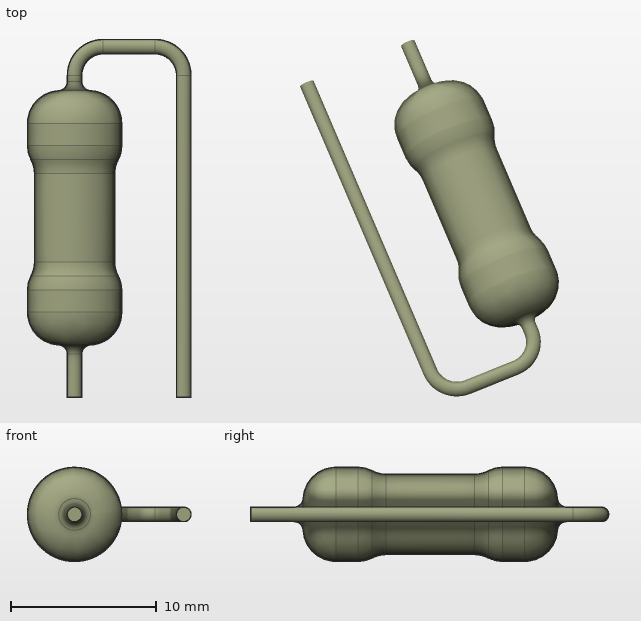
import cadquery as cq
import math


lead_diameter = 1.0
lead_radius = lead_diameter / 2
lead_pitch = 7.5
lead_length_y = 24.6
bend_radius = 1.97
lead_top = lead_length_y - lead_radius
bend_start = lead_top - bend_radius

cap_radius = 6.5 / 2
waist_radius = 5.54 / 2
body_bottom = 3.6
body_length = 17.5
body_middle = body_bottom + body_length / 2
cap_length = 3.8
taper_length = 1.92
collar_round = 0.62
cap_round = 2.26


def make_body_half():
    """Revolve the lower half of the body, from the lead collar to mid-length."""
    mean_radius = (cap_radius + waist_radius) / 2
    round_centre_x = cap_radius - cap_round
    round_top = body_bottom + cap_round
    taper_start = body_bottom + cap_length
    taper_middle = taper_start + taper_length / 2
    taper_end = taper_start + taper_length

    centre_distance = cap_round + collar_round
    offset_x = lead_radius + collar_round - round_centre_x
    offset_y = math.sqrt(centre_distance**2 - offset_x**2)
    collar_bottom = round_top - offset_y
    contact_ratio = cap_round / centre_distance
    contact = (round_centre_x + offset_x * contact_ratio, round_top - offset_y * contact_ratio)

    return (
        cq.Workplane("XY")
        .moveTo(0, collar_bottom)
        .lineTo(lead_radius, collar_bottom)
        .radiusArc(contact, collar_round)
        .radiusArc((cap_radius, round_top), -cap_round)
        .lineTo(cap_radius, taper_start)
        .tangentArcPoint((mean_radius, taper_middle), relative=False)
        .tangentArcPoint((waist_radius, taper_end), relative=False)
        .lineTo(waist_radius, body_middle)
        .lineTo(0, body_middle)
        .close()
        .revolve(360, (0, 0, 0), (0, 1, 0))
    )


def make_lead():
    """Sweep one continuous wire through the body, over the top and back down."""
    path = (
        cq.Workplane("XY")
        .lineTo(0, bend_start)
        .radiusArc((bend_radius, lead_top), bend_radius)
        .lineTo(lead_pitch - bend_radius, lead_top)
        .radiusArc((lead_pitch, bend_start), bend_radius)
        .lineTo(lead_pitch, 0)
    )
    return cq.Workplane("XZ").circle(lead_radius).sweep(path)


lower_half = make_body_half()
upper_half = lower_half.mirror("XZ", (0, body_middle, 0))
result = lower_half.union(upper_half).union(make_lead()).clean()